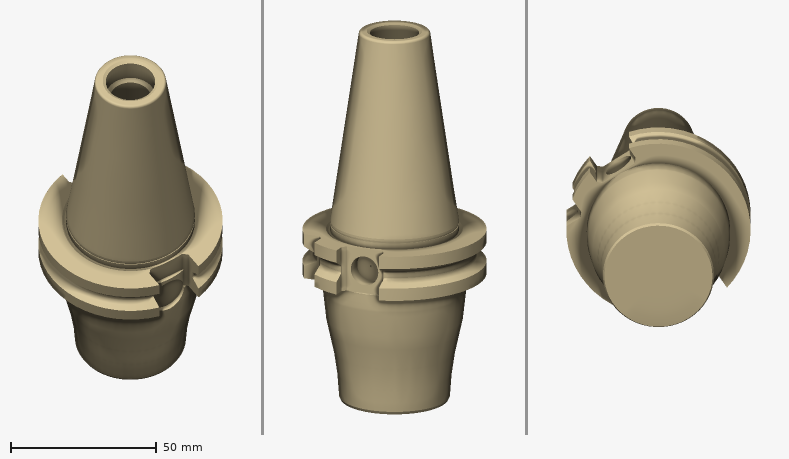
import cadquery as cq
import math

total_height = 132.9
taper_length = 68.5
gauge_z = total_height - taper_length
collar_height = 3.2
flange_top = gauge_z - collar_height
flange_thickness = 16.0
flange_bottom = flange_top - flange_thickness
flange_mid = (flange_top + flange_bottom) / 2

gauge_radius = 22.2
taper_ratio = 7 / 24
tip_radius = gauge_radius - taper_length * taper_ratio / 2
tip_fillet = 1.0
undercut_top = gauge_z - 0.8
undercut_height = 0.7
undercut_depth = 0.3

flange_radius = 31.8
groove_mouth = 7.0
groove_root_radius = 28.0
groove_half_angle = 30
groove_fillet = 0.8
face_groove_outer = 23.7
face_groove_floor_radius = 22.9
face_groove_depth = 0.5

nose_radius = 24.7
nose_top_chamfer = 0.5
nose_straight_end = 41.5
nose_bend_z = 24.7
nose_bend_radius = 22.6
nose_end_radius = 19.1
nose_chamfer_height = 1.0
nose_chamfer_width = 0.5

slot_width = 16.1
left_slot_floor = 25.0
right_slot_floor = 22.9
slot_chamfer = 1.5
notch_offset = 18.6
notch_chamfer = 1.5

bore_mouth_radius = 9.6
bore_mouth_depth = 0.7
bore_radius = 8.5
bore_ledge_depth = 8.0
bore_ledge_drop = 0.8
tap_radius = 7.0
tap_depth = 31.9
drill_half_angle = 59

side_hole_radius = 5.2
side_hole_depth = 5.3
pilot_radius = 0.4
pilot_depth = 1.3


def revolve_about_z(profile):
    return profile.close().revolve(360, (0, 0, 0), (0, 1, 0))


def nose():
    """Straight band, convex arc, then a tangent concave arc to the end chamfer."""
    profile = (
        cq.Workplane("XZ")
        .moveTo(0, flange_mid)
        .lineTo(nose_radius - nose_top_chamfer, flange_mid)
        .lineTo(nose_radius - nose_top_chamfer, flange_bottom)
        .lineTo(nose_radius, flange_bottom - nose_top_chamfer)
        .lineTo(nose_radius, nose_straight_end)
        .tangentArcPoint((nose_bend_radius, nose_bend_z), relative=False)
        .tangentArcPoint((nose_end_radius, nose_chamfer_height), relative=False)
        .lineTo(nose_end_radius - nose_chamfer_width, 0)
        .lineTo(0, 0)
    )
    return revolve_about_z(profile)


def flange():
    """Disc with a V groove around its rim."""
    mouth_half = groove_mouth / 2
    slope_height = (flange_radius - groove_root_radius) * math.tan(math.radians(groove_half_angle))
    root_half = mouth_half - slope_height
    profile = (
        cq.Workplane("XZ")
        .moveTo(0, flange_bottom)
        .lineTo(flange_radius, flange_bottom)
        .lineTo(flange_radius, flange_mid - mouth_half)
        .lineTo(groove_root_radius, flange_mid - root_half)
        .lineTo(groove_root_radius, flange_mid + root_half)
        .lineTo(flange_radius, flange_mid + mouth_half)
        .lineTo(flange_radius, flange_top)
        .lineTo(0, flange_top)
    )
    root_box = cq.selectors.BoxSelector(
        (-flange_radius, -flange_radius, flange_mid - root_half - groove_fillet),
        (flange_radius, flange_radius, flange_mid + root_half + groove_fillet),
        boundingbox=True,
    )
    return revolve_about_z(profile).edges("%CIRCLE").edges(root_box).fillet(groove_fillet)


def taper():
    """Collar with a small undercut below the gauge line, then the cone with a rounded tip."""
    undercut_radius = gauge_radius - undercut_depth
    undercut_bottom = undercut_top - undercut_height
    profile = (
        cq.Workplane("XZ")
        .moveTo(0, flange_mid)
        .lineTo(gauge_radius, flange_mid)
        .lineTo(gauge_radius, undercut_bottom)
        .lineTo(undercut_radius, undercut_bottom)
        .lineTo(undercut_radius, undercut_top)
        .lineTo(gauge_radius, undercut_top)
        .lineTo(gauge_radius, gauge_z)
        .lineTo(tip_radius, total_height)
        .lineTo(0, total_height)
    )
    return revolve_about_z(profile).faces(">Z").edges().fillet(tip_fillet)


def face_groove():
    """Shallow ring with a sloped outer wall, cut into the flange's top face around the collar."""
    profile = (
        cq.Workplane("XZ")
        .moveTo(gauge_radius, flange_top)
        .lineTo(gauge_radius, flange_top - face_groove_depth)
        .lineTo(face_groove_floor_radius, flange_top - face_groove_depth)
        .lineTo(face_groove_outer, flange_top)
    )
    return revolve_about_z(profile)


def drive_slot(side, floor):
    """Full-height slot on the given X side, with chamfered floor corners."""
    half_width = slot_width / 2
    outside = flange_radius + 1.3
    return (
        cq.Workplane("XY", origin=(0, 0, flange_bottom))
        .moveTo(side * outside, -half_width)
        .lineTo(side * (floor + slot_chamfer), -half_width)
        .lineTo(side * floor, slot_chamfer - half_width)
        .lineTo(side * floor, half_width - slot_chamfer)
        .lineTo(side * (floor + slot_chamfer), half_width)
        .lineTo(side * outside, half_width)
        .close()
        .extrude(flange_thickness)
    )


def slot_runout():
    """Round end of the deeper +X slot, running down into the top of the nose."""
    return (
        cq.Workplane("YZ", origin=(right_slot_floor, 0, flange_bottom))
        .circle(slot_width / 2 - slot_chamfer)
        .extrude(flange_radius - right_slot_floor)
    )


def orientation_notch():
    """Corner cut-out of the flange on the -X, +Y side."""
    return (
        cq.Workplane("XY", origin=(0, 0, flange_bottom))
        .moveTo(-flange_radius, notch_offset)
        .lineTo(-notch_offset - notch_chamfer, notch_offset)
        .lineTo(-notch_offset, notch_offset + notch_chamfer)
        .lineTo(-notch_offset, flange_radius)
        .lineTo(-flange_radius, flange_radius)
        .close()
        .extrude(flange_thickness)
    )


def draw_bar_bore():
    """Stepped blind bore with a bevelled mouth and a drill-point bottom."""
    ledge_z = total_height - bore_ledge_depth
    tap_end = total_height - tap_depth
    drill_point = tap_radius / math.tan(math.radians(drill_half_angle))
    profile = (
        cq.Workplane("XZ")
        .moveTo(0, total_height)
        .lineTo(bore_mouth_radius, total_height)
        .lineTo(bore_radius, total_height - bore_mouth_depth)
        .lineTo(bore_radius, ledge_z)
        .lineTo(tap_radius, ledge_z - bore_ledge_drop)
        .lineTo(tap_radius, tap_end)
        .lineTo(0, tap_end - drill_point)
    )
    return revolve_about_z(profile)


def side_hole():
    """Blind radial hole in the floor of the -X slot, with a small pilot hole in its end."""
    return (
        cq.Workplane("YZ", origin=(-left_slot_floor, 0, flange_mid))
        .circle(side_hole_radius)
        .extrude(side_hole_depth)
        .faces(">X")
        .workplane()
        .circle(pilot_radius)
        .extrude(pilot_depth)
    )


slotted_flange = (
    flange()
    .cut(drive_slot(-1, left_slot_floor))
    .cut(drive_slot(1, right_slot_floor))
    .cut(orientation_notch())
    .cut(face_groove())
)
body = nose().cut(slot_runout()).union(slotted_flange).union(taper())
result = body.cut(draw_bar_bore()).cut(side_hole())